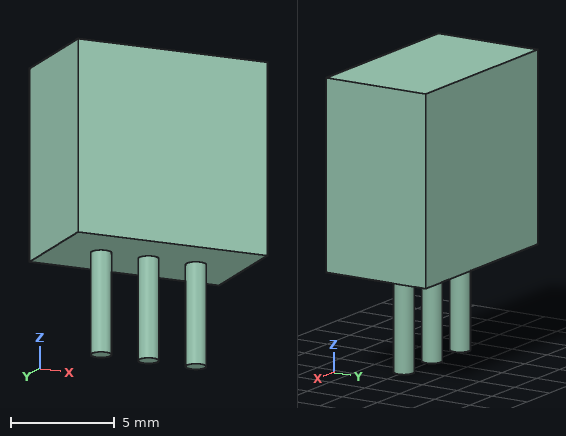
import cadquery as cq

width = 10.0
depth = 5.7
total_height = 14.8

pin_count = 3
pin_diameter = 1.0
pin_pitch = 2.5
pin_length = 5.1

housing_height = total_height - pin_length


def make_housing():
    """Plain rectangular block standing on the XY plane, centred on Z."""
    return cq.Workplane("XY").box(width, depth, housing_height, centered=(True, True, False))


def make_pin(x):
    """Round pin hanging from the underside of the housing."""
    return cq.Workplane("XY").center(x, 0).circle(pin_diameter / 2).extrude(-pin_length)


housing = make_housing()

pins = []
for index in range(pin_count):
    pin_x = (index - (pin_count - 1) / 2) * pin_pitch
    pins.append(make_pin(pin_x).val())

result = cq.Compound.makeCompound([housing.val(), *pins])